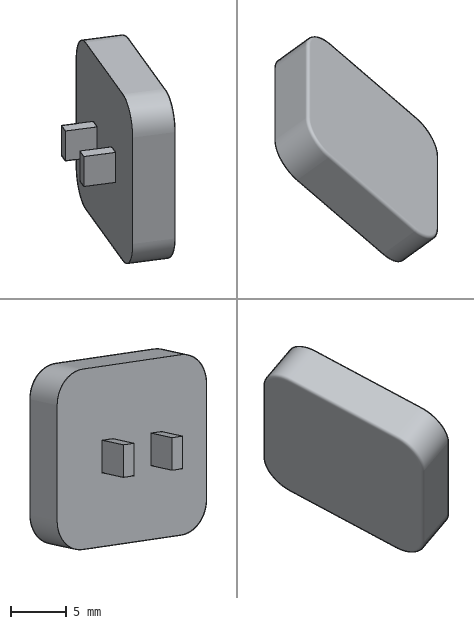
import cadquery as cq

body_width = 17.5
body_height = 16.6
body_depth = 4.1
corner_radius = 3.0
back_edge_radius = 0.3

prong_width = 1.25
prong_height = 3.0
prong_length = 3.01
prong_spacing = 5.7


def make_body():
    """Block with its front face on Y = 0, extending toward +Y."""
    block = cq.Workplane("XY").box(body_width, body_depth, body_height)
    block = block.translate((0, body_depth / 2, 0))
    return block.edges("|Y").fillet(corner_radius).faces(">Y").edges().fillet(back_edge_radius)


def make_prongs():
    """Pair of rectangular prongs reaching from the front face toward -Y."""
    return (
        cq.Workplane("XZ")
        .rarray(prong_spacing, 0.18, 2, 1)
        .rect(prong_width, prong_height)
        .extrude(prong_length)
    )


result = make_body().union(make_prongs())